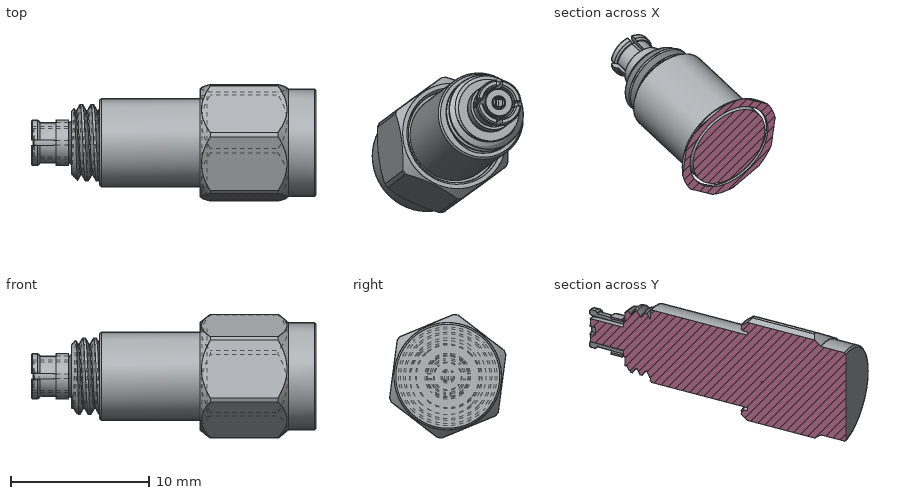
import cadquery as cq
import math


head_end = 0.46
neck_start = 0.62
collar_start = 1.80
collar_end = 2.70
spacer_start = 2.79
thread_start = 2.90
body_start = 4.93
nut_start = 12.20
hex_end = 18.59
overall_length = 20.60

head_radius = 1.655
neck_radius = 1.46
head_back_radius = 1.53
tip_chamfer_length = 0.08
tip_chamfer_height = 0.10
collar_radius = 1.655
spacer_radius = 1.55
finger_bore_radius = 1.18
finger_bore_chamfer = 0.12
finger_slot_count = 4
slot_width_tip = 0.42
slot_width_root = 0.32

insulator_face = 0.14
insulator_radius = 1.03
insulator_chamfer = 0.05
contact_hole_radius = 0.50
contact_nose_radius = 0.40
contact_nose_length = 0.10
socket_radius = 0.32
socket_mouth_width = 0.50
socket_floor_width = 0.14
socket_depth = 0.40

thread_pitch = 0.79
thread_radius = 2.77
thread_root_radius = 2.32
thread_crest_width = 0.19
thread_root_width = 0.09
thread_lead_in_radius = 2.27
thread_crest_at_bottom = 3.42
groove_clearance = 0.05

body_radius = 3.19
body_chamfer = 0.13

hex_sides = 6
hex_across_flats = 7.94
hex_corner_radius = 4.495
hex_corner_tilt = 7.5
hex_end_radius = 3.89
hex_chamfer_length = 0.74
skirt_radius = 3.88
skirt_chamfer = 0.12
nut_bore_radius = 3.42
nut_bore_chamfer = 0.15
nut_bore_depth = 0.50


def revolve_about_x(points):
    """Revolve an outline of (x, radius) points about the X axis."""
    return cq.Workplane("XY").polyline(points).close().revolve(360, (0, 0, 0), (1, 0, 0))


def cylinder(x_start, x_end, radius):
    return cq.Workplane("YZ", origin=(x_start, 0, 0)).circle(radius).extrude(x_end - x_start)


def tube(x_start, x_end, outer_radius, inner_radius):
    return cylinder(x_start, x_end, outer_radius).cut(cylinder(x_start, x_end, inner_radius))


def make_finger_slot(angle):
    """Tapered cutter for one slot, open at the tip and reaching out past the head."""
    outline = [
        (0, -slot_width_tip / 2),
        (spacer_start, -slot_width_root / 2),
        (spacer_start, slot_width_root / 2),
        (0, slot_width_tip / 2),
    ]
    slot = cq.Workplane("XY").polyline(outline).close().extrude(2 * head_radius)
    return slot.rotate((0, 0, 0), (1, 0, 0), angle)


def make_fingers():
    """Slotted spring sleeve with a raised head."""
    fingers = revolve_about_x([
        (0, finger_bore_radius + finger_bore_chamfer),
        (0, head_radius - tip_chamfer_height),
        (tip_chamfer_length, head_radius),
        (head_end, head_radius),
        (neck_start, head_back_radius),
        (neck_start, neck_radius),
        (spacer_start, neck_radius),
        (spacer_start, finger_bore_radius),
        (finger_bore_chamfer, finger_bore_radius),
    ])
    for index in range(finger_slot_count):
        fingers = fingers.cut(make_finger_slot(index * 360 / finger_slot_count))
    return fingers


def make_collar():
    """Ring around the fingers, bridging their slots."""
    return tube(collar_start, collar_end, collar_radius, neck_radius)


def make_core():
    """Insulator around the center contact, whose chamfered nose leaves a ring groove in the face."""
    return revolve_about_x([
        (insulator_face, 0),
        (insulator_face, contact_nose_radius),
        (insulator_face + contact_nose_length, contact_hole_radius),
        (insulator_face, contact_hole_radius),
        (insulator_face, insulator_radius - insulator_chamfer),
        (insulator_face + insulator_chamfer, insulator_radius),
        (spacer_start, insulator_radius),
        (spacer_start, 0),
    ]).cut(make_socket())


def make_socket():
    """Cutter for the round-ended contact socket, which narrows in Y toward its floor."""
    socket_floor = insulator_face + socket_depth
    section = [
        (insulator_face, -socket_mouth_width / 2),
        (socket_floor, -socket_floor_width / 2),
        (socket_floor, socket_floor_width / 2),
        (insulator_face, socket_mouth_width / 2),
    ]
    wedge = cq.Workplane("XY").polyline(section).close().extrude(socket_radius, both=True)
    return wedge.intersect(cylinder(insulator_face, socket_floor, socket_radius))


def make_thread_groove(helix_start, turns):
    """Helical cutter with a trapezoid section, wide enough to clear the crests."""
    flank_run = (thread_pitch - thread_crest_width - thread_root_width) / 2
    flank_slope = flank_run / (thread_radius - thread_root_radius)
    half_root = thread_root_width / 2
    half_mouth = half_root + flank_run + flank_slope * groove_clearance
    mouth_radius = thread_radius + groove_clearance
    section = [
        (thread_root_radius, -half_root),
        (mouth_radius, -half_mouth),
        (mouth_radius, half_mouth),
        (thread_root_radius, half_root),
    ]
    helix = cq.Wire.makeHelix(thread_pitch, turns * thread_pitch, thread_root_radius)
    groove = cq.Workplane("XZ").polyline(section).close().sweep(cq.Workplane(obj=helix), isFrenet=True)
    return groove.rotate((0, 0, 0), (0, 1, 0), 90).translate((helix_start, 0, 0))


def make_thread():
    """Threaded length between the spacer and the body, with a 45 degree lead-in.

    The groove is cut along a longer rod, which is then trimmed to the threaded length.
    """
    first_groove = thread_crest_at_bottom - thread_pitch / 2
    turns_before = math.ceil((first_groove - thread_start) / thread_pitch) + 1
    helix_start = first_groove - turns_before * thread_pitch
    turns = math.ceil((body_start - helix_start) / thread_pitch) + 1
    helix_end = helix_start + turns * thread_pitch
    rod = cylinder(helix_start - thread_pitch, helix_end + thread_pitch, thread_radius)
    rod = rod.cut(make_thread_groove(helix_start, turns))

    trim_radius = thread_radius + groove_clearance
    lead_in_end = thread_start + trim_radius - thread_lead_in_radius
    trim = revolve_about_x([
        (thread_start, 0),
        (thread_start, thread_lead_in_radius),
        (lead_in_end, trim_radius),
        (body_start, trim_radius),
        (body_start, 0),
    ])
    return rod.intersect(trim)


def make_body():
    """Spacer disc and plain barrel, running into the nut."""
    spacer = cylinder(spacer_start, thread_start, spacer_radius)
    barrel = cylinder(body_start, hex_end, body_radius).faces("<X").chamfer(body_chamfer)
    return spacer.union(barrel)


def make_nut():
    """Hexagonal nut with truncated corners, coned ends and a round skirt."""
    hex_length = hex_end - nut_start
    corner_diameter = hex_across_flats / math.cos(math.pi / hex_sides)
    hexagon = (
        cq.Workplane("YZ", origin=(nut_start, 0, 0))
        .polygon(hex_sides, corner_diameter)
        .extrude(hex_length)
        .rotate((0, 0, 0), (1, 0, 0), 90 - hex_corner_tilt)
    )
    chamfer_height = hex_corner_radius - hex_end_radius
    envelope = (
        cylinder(nut_start, hex_end, hex_corner_radius)
        .faces("<X or >X")
        .chamfer(hex_chamfer_length, chamfer_height)
    )
    skirt = cylinder(hex_end, overall_length, skirt_radius).faces(">X").chamfer(skirt_chamfer)
    bore = revolve_about_x([
        (nut_start, 0),
        (nut_start, nut_bore_radius + nut_bore_chamfer),
        (nut_start + nut_bore_chamfer, nut_bore_radius),
        (nut_start + nut_bore_depth, nut_bore_radius),
        (nut_start + nut_bore_depth, 0),
    ])
    return hexagon.intersect(envelope).union(skirt).cut(bore)


pieces = [make_body(), make_thread(), make_fingers(), make_collar(), make_core()]
result = make_nut()
for piece in pieces:
    result = result.union(piece)